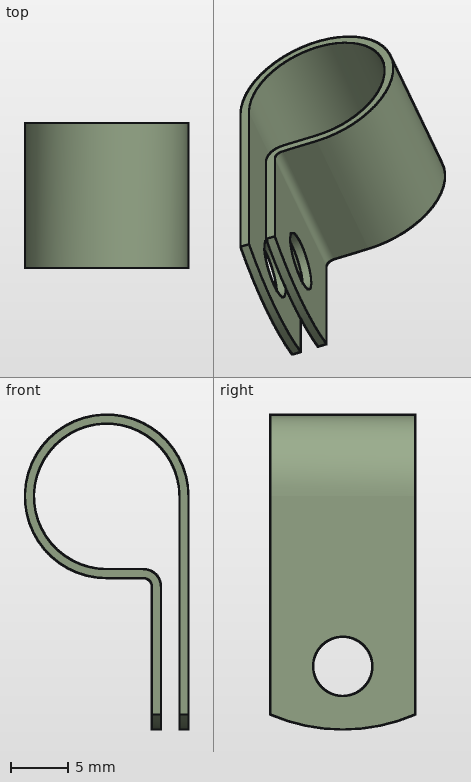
import cadquery as cq

thickness = 0.8128
width = 12.7

loop_inner_radius = 6.35
loop_outer_radius = loop_inner_radius + thickness

overall_height = 27.56
leg_gap = 1.6
leg_end_z = loop_outer_radius - overall_height
bend_inner_radius = 0.72
bend_outer_radius = bend_inner_radius + thickness
end_arc_rise = 1.32

hole_diameter = 5.16
hole_z = -14.86

short_leg_right_x = loop_inner_radius - leg_gap
short_leg_left_x = short_leg_right_x - thickness
bend_center_x = short_leg_right_x - bend_outer_radius
bend_center_z = -loop_inner_radius - bend_outer_radius


def make_strap():
    """Bent strap: long leg, three-quarter loop, bend and short leg."""
    profile = (
        cq.Workplane("XZ")
        .moveTo(loop_outer_radius, leg_end_z)
        .lineTo(loop_outer_radius, 0)
        .threePointArc((0, loop_outer_radius), (-loop_outer_radius, 0))
        .radiusArc((0, -loop_outer_radius), -loop_outer_radius)
        .lineTo(bend_center_x, -loop_outer_radius)
        .radiusArc((short_leg_left_x, bend_center_z), bend_inner_radius)
        .lineTo(short_leg_left_x, leg_end_z)
        .lineTo(short_leg_right_x, leg_end_z)
        .lineTo(short_leg_right_x, bend_center_z)
        .radiusArc((bend_center_x, -loop_inner_radius), -bend_outer_radius)
        .lineTo(0, -loop_inner_radius)
        .radiusArc((-loop_inner_radius, 0), loop_inner_radius)
        .threePointArc((0, loop_inner_radius), (loop_inner_radius, 0))
        .lineTo(loop_inner_radius, leg_end_z)
        .close()
    )
    return profile.extrude(width / 2, both=True)


def make_side_envelope():
    """Side outline with the legs' ends rounded to a shallow arc."""
    corner_z = leg_end_z + end_arc_rise
    return (
        cq.Workplane("YZ")
        .moveTo(-width / 2, loop_outer_radius)
        .lineTo(-width / 2, corner_z)
        .threePointArc((0, leg_end_z), (width / 2, corner_z))
        .lineTo(width / 2, loop_outer_radius)
        .close()
        .extrude(loop_outer_radius, both=True)
    )


def make_mounting_hole():
    """Round cutter passing through both legs."""
    return (
        cq.Workplane("YZ")
        .center(0, hole_z)
        .circle(hole_diameter / 2)
        .extrude(loop_outer_radius)
    )


result = make_strap().intersect(make_side_envelope()).cut(make_mounting_hole())